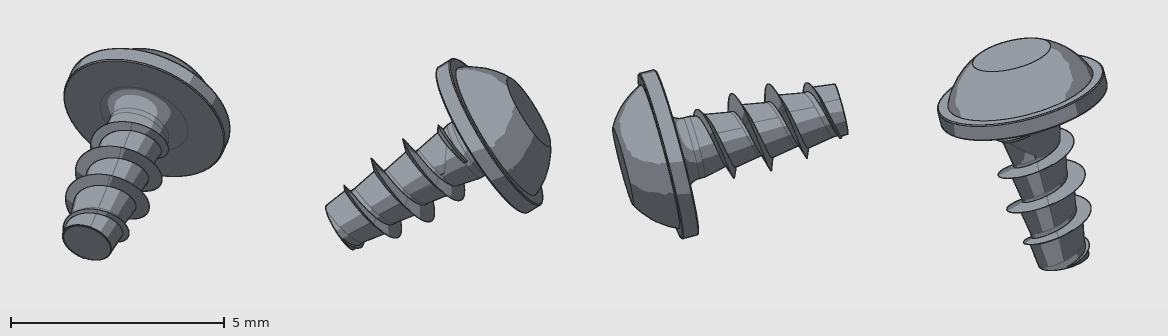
import cadquery as cq
import math

total_length = 5.3

flange_radius = 2.001
flange_thickness = 0.405
flange_chamfer = 0.025
dome_height = 0.895
dome_base_radius = 1.745
dome_top_radius = 0.94
dome_sphere_radius = 1.83

neck_radius = 0.735
neck_fillet = 0.35
neck_end = -0.495
core_radius = 0.595
neck_taper_end = -1.14
tip_y = flange_thickness + dome_height - total_length
tip_cone_height = 0.005
tip_edge = 0.01

pitch = 0.888
thread_start = -0.445
thread_end = -3.975
full_depth_start = -1.43
full_depth_end = -2.65
start_crest_radius = 0.795
crest_radius = 0.995
end_crest_radius = 0.62
root_radius = 0.7
root_taper_start = -3.02
end_root_radius = 0.61
root_half_width = 0.1
end_root_half_width = 0.02
buried_radius = 0.505
land_end_radius = 0.585
turn_gap = 0.01
points_per_turn = 24
points_per_face = 12


def interpolate(y, y_a, value_a, y_b, value_b):
    """Linear change from value_a at y_a to value_b at y_b, held constant beyond both."""
    fraction = min(max((y - y_a) / (y_b - y_a), 0.0), 1.0)
    return value_a + fraction * (value_b - value_a)


def crest_radius_at(y):
    if y > full_depth_start:
        return interpolate(y, thread_start, start_crest_radius, full_depth_start, crest_radius)
    return interpolate(y, full_depth_end, crest_radius, thread_end, end_crest_radius)


def thread_profile(y):
    """Corners (radius, Y) of the ridge and of the tapering root land behind it."""
    root = interpolate(y, root_taper_start, root_radius, thread_end, end_root_radius)
    half_width = interpolate(y, full_depth_end, root_half_width, thread_end, end_root_half_width)
    head_side = y + half_width
    land_end = y - pitch + root_half_width + turn_gap
    return [
        (buried_radius, head_side),
        (land_end_radius, head_side),
        (max(crest_radius_at(y), root), y),
        (root, y - half_width),
        (land_end_radius, land_end),
        (buried_radius, land_end),
    ]


def make_thread():
    """Right-handed helical solid, starting on the -Z side and running towards the tip."""
    turns = (thread_start - thread_end) / pitch
    steps = math.ceil(turns * points_per_turn)
    sections = []
    for step in range(steps + 1):
        fraction = step / steps
        angle = 2 * math.pi * turns * fraction - math.pi / 2
        center_y = thread_start + fraction * (thread_end - thread_start)
        sections.append([
            cq.Vector(radius * math.cos(angle), y, radius * math.sin(angle))
            for radius, y in thread_profile(center_y)
        ])
    faces = []
    for first in range(0, steps, points_per_face):
        patch = sections[first:first + points_per_face + 1]
        paths = [
            cq.Edge.makeSpline(list(path), parameters=list(range(len(patch))))
            for path in zip(*patch)
        ]
        faces += [
            cq.Face.makeRuledSurface(path, paths[index - 1])
            for index, path in enumerate(paths)
        ]
    for section in (sections[0], sections[-1]):
        faces.append(cq.Face.makeFromWires(cq.Wire.makePolygon(section, close=True)))
    solid = cq.Solid.makeSolid(cq.Shell.makeShell(faces))
    return cq.Workplane(obj=solid.fix())


def make_body():
    """Head, neck and plain core revolved about Y."""
    head_top = flange_thickness + dome_height
    chord_x = dome_base_radius - dome_top_radius
    chord = math.hypot(chord_x, dome_height)
    sagitta = dome_sphere_radius - math.sqrt(dome_sphere_radius**2 - chord**2 / 4)
    dome_middle = (
        (dome_base_radius + dome_top_radius) / 2 + sagitta * dome_height / chord,
        flange_thickness + dome_height / 2 + sagitta * chord_x / chord,
    )
    fillet_reach = neck_fillet * (1 - math.sqrt(0.5))
    return (
        cq.Workplane("XY")
        .moveTo(0, head_top)
        .lineTo(dome_top_radius, head_top)
        .threePointArc(dome_middle, (dome_base_radius, flange_thickness))
        .lineTo(flange_radius - flange_chamfer, flange_thickness)
        .lineTo(flange_radius, flange_thickness - flange_chamfer)
        .lineTo(flange_radius, flange_chamfer)
        .lineTo(flange_radius - flange_chamfer, 0)
        .lineTo(neck_radius + neck_fillet, 0)
        .threePointArc(
            (neck_radius + fillet_reach, -fillet_reach), (neck_radius, -neck_fillet)
        )
        .lineTo(neck_radius, neck_end)
        .lineTo(core_radius, neck_taper_end)
        .lineTo(core_radius, tip_y + tip_cone_height + tip_edge)
        .lineTo(core_radius - tip_edge, tip_y + tip_cone_height)
        .lineTo(0, tip_y)
        .close()
        .revolve(360, (0, 0), (0, 1))
    )


def trim_at_tip(thread):
    """Cut off the thread land that runs past the flat edge of the tip."""
    tip_edge_y = tip_y + tip_cone_height + tip_edge
    keeper = cq.Workplane("XZ").circle(flange_radius).extrude(-tip_edge_y)
    return thread.intersect(keeper)


result = make_body().union(trim_at_tip(make_thread()))